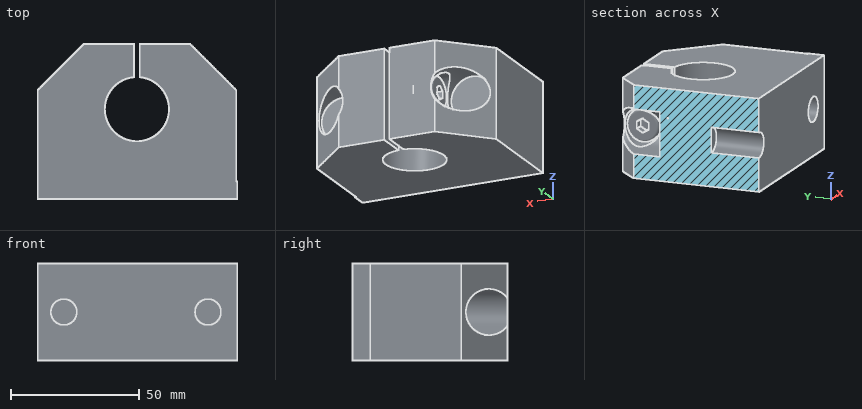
import cadquery as cq

length = 78.0
depth = 60.5
height = 38.0
corner_chamfer = 18.0
mid_height = height / 2

lip_step = 0.5
lip_width = 6.95
body_length = length - lip_step
body_center = body_length / 2

bore_diameter = 24.95
bore_y = 35.1
slot_width = 2.2

mount_diameter = 10.15
mount_depth = 20.0
mount_spacing = 56.2
mount_shift = 0.4
mount_center = body_center - mount_shift

recess_diameter = 18.0
recess_depth = 18.7
recess_inset = 10.8

screw_inset = 7.8
screw_y = depth - screw_inset
screw_bore_diameter = 15.0
screw_floor_x = 27.5
head_diameter = 13.5
head_height = 8.0
head_round = 1.0
socket_flats = 5.0
socket_depth = 4.0

TO_RIGHT = (1, 0, 0)
TO_BACK = (0, 1, 0)
TO_FRONT = (0, -1, 0)
UP = (0, 0, 1)


def cylinder(start, direction, diameter, cylinder_length):
    solid = cq.Solid.makeCylinder(diameter / 2, cylinder_length, cq.Vector(*start), cq.Vector(*direction))
    return cq.Workplane(solid)


def make_block():
    outline = [
        (0, 0),
        (length, 0),
        (length, lip_width),
        (body_length, lip_width),
        (body_length, depth - corner_chamfer),
        (body_length - corner_chamfer, depth),
        (corner_chamfer, depth),
        (0, depth - corner_chamfer),
    ]
    return cq.Workplane("XY").polyline(outline).close().extrude(height)


def make_clamp_opening():
    """Through bore for the shaft, joined to the slot in the back face."""
    bore = cylinder((body_center, bore_y, 0), UP, bore_diameter, height)
    slot = cq.Workplane("XY").box(slot_width, depth - bore_y, height, centered=(True, False, False))
    return bore.union(slot.translate((body_center, bore_y, 0)))


def cut_mounting_holes(part):
    for x in (mount_center - mount_spacing / 2, mount_center + mount_spacing / 2):
        part = part.cut(cylinder((x, 0, mid_height), TO_BACK, mount_diameter, mount_depth))
    return part


def cut_back_recesses(part):
    for x in (recess_inset, body_length - recess_inset):
        part = part.cut(cylinder((x, depth, mid_height), TO_FRONT, recess_diameter, recess_depth))
    return part


def make_screw_bore():
    return cylinder((0, screw_y, mid_height), TO_RIGHT, screw_bore_diameter, screw_floor_x)


def make_screw_head():
    """Rounded head resting on the screw bore floor, with a hexagon socket facing -X."""
    face_center = (screw_floor_x - head_height, screw_y, mid_height)
    head = cylinder(face_center, TO_RIGHT, head_diameter, head_height)
    head = head.faces("<X").edges().fillet(head_round)
    socket_plane = cq.Plane(origin=face_center, xDir=TO_BACK, normal=TO_RIGHT)
    socket = cq.Workplane(socket_plane).polygon(6, socket_flats, circumscribed=True).extrude(socket_depth)
    return head.cut(socket)


result = make_block().cut(make_clamp_opening())
result = cut_mounting_holes(result)
result = cut_back_recesses(result)
result = result.cut(make_screw_bore()).union(make_screw_head())